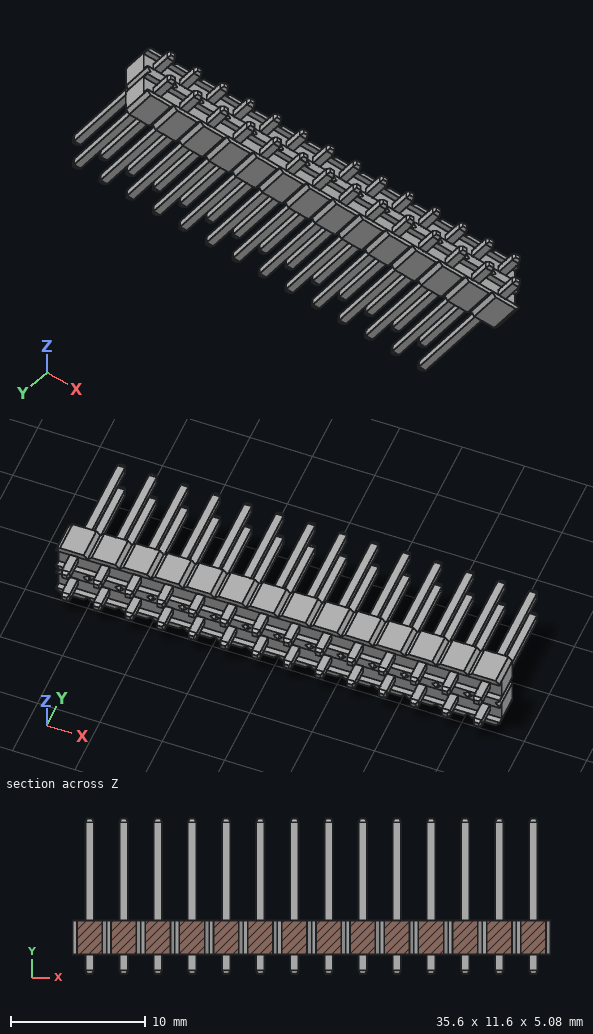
import cadquery as cq

columns = 14
rows = 2
length = 35.55
pitch = length / columns
housing_depth = pitch

corner_chamfer = 0.32
groove_depth = 0.45
groove_height = 1.67

pin_width = 0.65
pin_total = 11.6
pin_front = 1.45
tip_length = 0.3
tip_width = 0.4

pin_front_end = -pin_front
pin_back_end = pin_front_end + pin_total


def centred_positions(count):
    """Pitch-spaced positions, centred on zero."""
    return [(index - (count - 1) / 2) * pitch for index in range(count)]


def make_housing(column_positions, row_positions):
    """Chamfered square cells joined side by side, leaving V notches and diamond holes."""
    cell = (
        cq.Workplane("XY")
        .box(pitch, housing_depth, pitch, centered=(True, False, True))
        .edges("|Y")
        .chamfer(corner_chamfer)
    )
    housing = cq.Workplane("XY")
    for x in column_positions:
        for z in row_positions:
            housing = housing.union(cell.translate((x, 0, z)))
    return housing


def make_groove(z):
    """Channel along the full front face of one row."""
    return (
        cq.Workplane("XY")
        .box(length, groove_depth, groove_height, centered=(True, False, True))
        .translate((0, 0, z))
    )


def make_tip(y, direction):
    """Pyramidal pin end that narrows from y toward the given Y direction."""
    return (
        cq.Workplane(cq.Plane((0, y, 0), xDir=(1, 0, 0), normal=(0, direction, 0)))
        .rect(pin_width, pin_width)
        .workplane(offset=tip_length)
        .rect(tip_width, tip_width)
        .loft(ruled=True)
    )


def make_pin():
    """Square pin along Y with a tapered tip at each end."""
    shank_start = pin_front_end + tip_length
    shank_end = pin_back_end - tip_length
    shank = (
        cq.Workplane("XY")
        .box(pin_width, shank_end - shank_start, pin_width, centered=(True, False, True))
        .translate((0, shank_start, 0))
    )
    return shank.union(make_tip(shank_start, -1)).union(make_tip(shank_end, 1))


column_positions = centred_positions(columns)
row_positions = centred_positions(rows)

result = make_housing(column_positions, row_positions)
for z in row_positions:
    result = result.cut(make_groove(z))

pin = make_pin()
for x in column_positions:
    for z in row_positions:
        result = result.union(pin.translate((x, 0, z)))